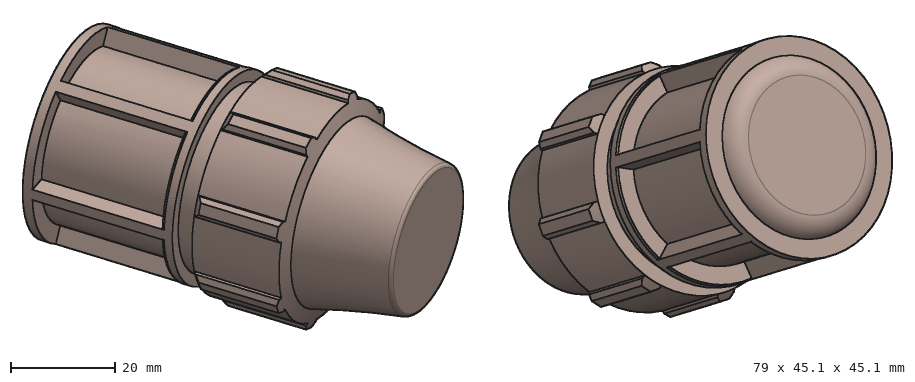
import cadquery as cq

length = 79.0

core_radius = 17.9
dome_face_radius = 13.7

collar_radius = 21.7
front_collar_start = 2.6
front_collar_end = 4.75
rear_collar_start = 32.7
rear_collar_end = 35.0
window_rim_length = 0.5
window_rim_radius = 21.5
fin_count = 6
fin_thickness = 2.45

neck_radius = 19.3

nut_radius = 22.4
nut_start = 39.6
nut_bevel_start = 58.4
nut_end = 59.3

rib_count = 8
rib_top_radius = 23.9
rib_shoulder_radius = 22.9
rib_top_width = 2.4
rib_base_width = 4.2

tail_end_radius = 15.3
tail_hollow = 0.3
tail_fillet = 0.8


def cylinder(radius, start, end):
    return cq.Workplane("YZ").workplane(offset=start).circle(radius).extrude(end - start)


def turned(outline):
    """Revolve the (x, radius) outline, closed along the axis."""
    points = [(outline[0][0], 0)] + outline + [(outline[-1][0], 0)]
    return cq.Workplane("XY").polyline(points).close().revolve(360, (0, 0, 0), (1, 0, 0))


def make_dome():
    """Rounded end cap whose arc starts tangent to its flat face."""
    return (
        cq.Workplane("XY")
        .lineTo(0, dome_face_radius)
        .tangentArcPoint((front_collar_start, core_radius), relative=False)
        .lineTo(front_collar_start, 0)
        .close()
        .revolve(360, (0, 0, 0), (1, 0, 0))
    )


def make_fins():
    """Slabs through the axis, each giving two opposite fins."""
    fin_length = rear_collar_end - front_collar_start
    slab = cq.Workplane("XY").box(fin_length, 3 * collar_radius, fin_thickness)
    slab = slab.translate((front_collar_start + fin_length / 2, 0, 0))
    fins = slab
    for index in range(1, fin_count // 2):
        fins = fins.union(slab.rotate((0, 0, 0), (1, 0, 0), index * 360 / fin_count))
    return fins


def make_barrel():
    """Cylinder with a ring cut down to the core between the collars, except at the fins.

    The ring's rear wall is bevelled at the rim.
    """
    outside_radius = 2 * collar_radius
    ring = turned([
        (front_collar_end, outside_radius),
        (rear_collar_start + window_rim_length, outside_radius),
        (rear_collar_start + window_rim_length, collar_radius),
        (rear_collar_start, window_rim_radius),
    ])
    core = cylinder(core_radius, front_collar_end, rear_collar_start)
    windows = ring.cut(core).cut(make_fins())
    return cylinder(collar_radius, front_collar_start, rear_collar_end).cut(windows)


def make_grip_rib():
    """One rib with a shouldered section, standing on the +Z side of the nut."""
    half_top = rib_top_width / 2
    half_base = rib_base_width / 2
    bar = (
        cq.Workplane("YZ")
        .workplane(offset=nut_start)
        .polyline([
            (-half_base, neck_radius),
            (-half_base, rib_shoulder_radius),
            (-half_top, rib_top_radius),
            (half_top, rib_top_radius),
            (half_base, rib_shoulder_radius),
            (half_base, neck_radius),
        ])
        .close()
        .extrude(nut_end - nut_start)
    )
    front_slope = turned([
        (nut_start, nut_radius),
        (nut_end, nut_radius + nut_end - nut_start),
    ])
    return bar.intersect(front_slope)


def make_nut():
    """Ribbed nut whose rear end, ribs included, is cut back by one cone."""
    nut = cylinder(nut_radius, nut_start, nut_end)
    rib = make_grip_rib()
    for index in range(rib_count):
        nut = nut.union(rib.rotate((0, 0, 0), (1, 0, 0), (index + 0.5) * 360 / rib_count))
    bevel_growth = (nut_radius - neck_radius) / (nut_end - nut_bevel_start)
    bevel_cone = turned([
        (nut_start, neck_radius + bevel_growth * (nut_end - nut_start)),
        (nut_end, neck_radius),
    ])
    return nut.intersect(bevel_cone)


def make_tail():
    """Tail whose flank is an arc bowed slightly inwards from the straight taper."""
    middle = ((nut_end + length) / 2, (neck_radius + tail_end_radius) / 2 - tail_hollow)
    tail = (
        cq.Workplane("XY")
        .moveTo(nut_end, 0)
        .lineTo(nut_end, neck_radius)
        .threePointArc(middle, (length, tail_end_radius))
        .lineTo(length, 0)
        .close()
        .revolve(360, (0, 0, 0), (1, 0, 0))
    )
    return tail.faces(">X").edges().fillet(tail_fillet)


result = (
    make_dome()
    .union(make_barrel())
    .union(cylinder(neck_radius, rear_collar_end, nut_start))
    .union(make_nut())
    .union(make_tail())
)